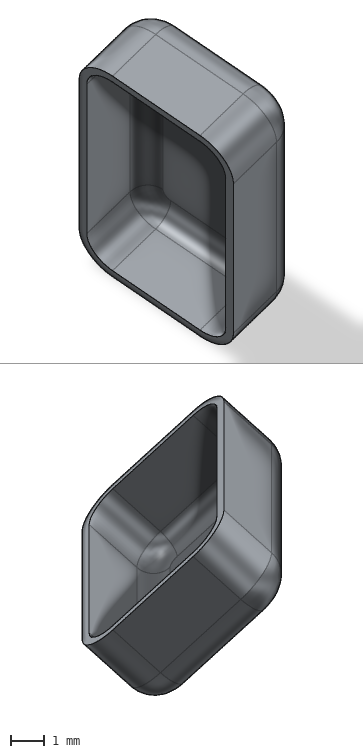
import cadquery as cq

width = 6.0
depth = 3.0
height = 10.2

wall = 0.3
corner_radius = 1.3
back_edge_radius = 1.0


def rounded_block(inset):
    """Block inset from the cap's sides and back, open face at Y = 0, closed back at +Y."""
    return (
        cq.Workplane("XZ")
        .rect(width - 2 * inset, height - 2 * inset)
        .extrude(-(depth - inset))
        .edges("|Y")
        .fillet(corner_radius - inset)
        .faces(">Y")
        .edges()
        .fillet(back_edge_radius - inset)
    )


outer_body = rounded_block(0)
cavity = rounded_block(wall)

result = outer_body.cut(cavity)